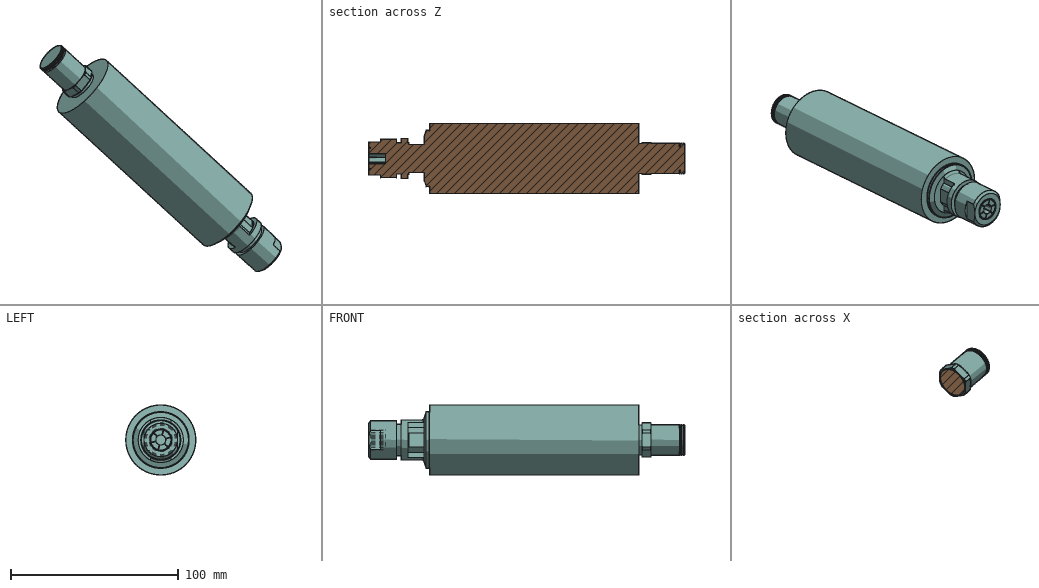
import cadquery as cq
import math


nut_chamfer_end = 1.2
nut_flat_end = 7.1
nut_end = 16.7
collar_start = 19.4
slot_start = 23.4
shaft_flat_start = 24.1
cap_start = 33.2
cap_taper_end = 34.3
cap_groove_width = 0.4
body_start = 36.5
body_length = 125.0
body_end = body_start + body_length
hex_start = 163.35
hex_end = 168.8
sleeve_end = 185.7
ring_start = 186.4
total_length = 189.02

nut_dia = 23.1
nut_face_dia = 19.9
nut_neck_dia = 19.0
collar_dia = 24.0
cap_face_dia = 27.0
cap_taper_dia = 33.0
cap_dia = 34.0
cap_groove_dia = 33.0
body_dia = 42.0
rear_neck_dia = 18.0
sleeve_dia = 18.5
sleeve_neck_dia = 14.0
ring_dia = 18.5
ring_end_dia = 17.5
ring_groove_dia = 17.5

nut_flat_width = 20.0
collar_fillet = 1.4
fork_width = 12.0
shaft_dia = 19.0
shaft_flat_width = 17.0
hex_sides = 6
hex_half_step = 180 / hex_sides
hex_width = 18.9
hex_corner_width = 20.6
hex_chamfer = 0.3

collet_dia = 12.0
collet_seat_dia = 13.2
collet_gap_depth = 1.0
collet_bore_dia = 6.0
collet_depth = 10.0
slit_count = 6
slit_width = 0.4
slit_start_angle = -15.0

ring_chamfer = 0.4
ring_groove_width = 0.9
ring_middle = (ring_start + total_length) / 2


def turned(stations):
    """Revolve (x, diameter) stations about the X axis."""
    outline = [(x, dia / 2) for x, dia in stations]
    outline = [(stations[0][0], 0)] + outline + [(stations[-1][0], 0)]
    return cq.Workplane("XY").polyline(outline).close().revolve(360, (0, 0, 0), (1, 0, 0))


def cylinder(start, end, dia):
    return turned([(start, dia), (end, dia)])


def side_cutters(start, end, width):
    """Two blocks that leave a given width across Y between two stations."""
    block = cq.Workplane("XY").box(end - start, body_dia, body_dia)
    offset = (width + body_dia) / 2
    middle = (start + end) / 2
    return block.translate((middle, offset, 0)).union(block.translate((middle, -offset, 0)))


def make_nut():
    """Collet nut with two wrench flats, and the neck behind it."""
    nut = turned([
        (0, nut_face_dia),
        (nut_chamfer_end, nut_dia),
        (nut_end, nut_dia),
        (nut_end, nut_neck_dia),
        (collar_start, nut_neck_dia),
    ])
    return nut.cut(side_cutters(0, nut_flat_end, nut_flat_width))


def cut_collet(part):
    """Cut the gap around the collet, its bore and the slits between its segments."""
    gap = cylinder(0, collet_gap_depth, collet_seat_dia).cut(cylinder(0, collet_gap_depth, collet_dia))
    part = part.cut(gap).cut(cylinder(0, collet_depth, collet_bore_dia))
    slit = cq.Workplane("XY").box(collet_depth, collet_dia / 2, slit_width)
    slit = slit.translate((collet_depth / 2, collet_dia / 4, 0))
    for i in range(slit_count):
        angle = slit_start_angle + i * 360 / slit_count
        part = part.cut(slit.rotate((0, 0, 0), (1, 0, 0), angle))
    return part


def make_collar():
    """Forked collar flaring into the cap, with a flatted shaft showing between its two prongs."""
    radius = collar_dia / 2
    fillet_drop = collar_fillet * (1 - math.cos(math.pi / 4))
    collar = (
        cq.Workplane("XY")
        .moveTo(collar_start, 0)
        .lineTo(collar_start, radius)
        .lineTo(cap_start - collar_fillet, radius)
        .threePointArc(
            (cap_start - fillet_drop, radius + fillet_drop),
            (cap_start, radius + collar_fillet),
        )
        .lineTo(cap_start, 0)
        .close()
        .revolve(360, (0, 0, 0), (1, 0, 0))
    )
    collar = collar.cut(side_cutters(slot_start, cap_start, fork_width))
    shaft = cylinder(collar_start, cap_start, shaft_dia)
    return collar.union(shaft.cut(side_cutters(shaft_flat_start, cap_start, shaft_flat_width)))


def make_body():
    """Front cap, main cylinder and rear neck."""
    return turned([
        (cap_start, cap_face_dia),
        (cap_taper_end, cap_taper_dia),
        (cap_taper_end, cap_dia),
        (body_start - cap_groove_width, cap_dia),
        (body_start - cap_groove_width, cap_groove_dia),
        (body_start, cap_groove_dia),
        (body_start, body_dia),
        (body_end, body_dia),
        (body_end, rear_neck_dia),
        (hex_start, rear_neck_dia),
    ])


def hex_prism(width, turn):
    """Hexagonal bar of a given width across flats, turned about X from a corner on +Y."""
    corner_dia = width / math.cos(math.radians(hex_half_step))
    prism = cq.Workplane("YZ").polygon(hex_sides, corner_dia).extrude(hex_end - hex_start)
    return prism.rotate((0, 0, 0), (1, 0, 0), turn).translate((hex_start, 0, 0))


def make_hex():
    """Hexagon with flats on +Y and -Y, blunted corners and chamfered corner ends."""
    blunted = hex_prism(hex_width, hex_half_step).intersect(hex_prism(hex_corner_width, 0))
    crest_dia = hex_corner_width + 2 * hex_chamfer
    end_dia = hex_corner_width - 2 * hex_chamfer
    envelope = turned([
        (hex_start, end_dia),
        (hex_start + 2 * hex_chamfer, crest_dia),
        (hex_end - 2 * hex_chamfer, crest_dia),
        (hex_end, end_dia),
    ])
    return blunted.intersect(envelope)


def make_fitting():
    """Rear sleeve, its neck and the grooved end ring."""
    groove_start = ring_middle - ring_groove_width / 2
    groove_end = ring_middle + ring_groove_width / 2
    return turned([
        (hex_end, sleeve_dia),
        (sleeve_end, sleeve_dia),
        (sleeve_end, sleeve_neck_dia),
        (ring_start, sleeve_neck_dia),
        (ring_start, ring_end_dia),
        (ring_start + ring_chamfer, ring_dia),
        (groove_start, ring_dia),
        (groove_start, ring_groove_dia),
        (groove_end, ring_groove_dia),
        (groove_end, ring_dia),
        (total_length - ring_chamfer, ring_dia),
        (total_length, ring_end_dia),
    ])


result = cut_collet(make_nut())
for section in (make_collar(), make_body(), make_hex(), make_fitting()):
    result = result.union(section)